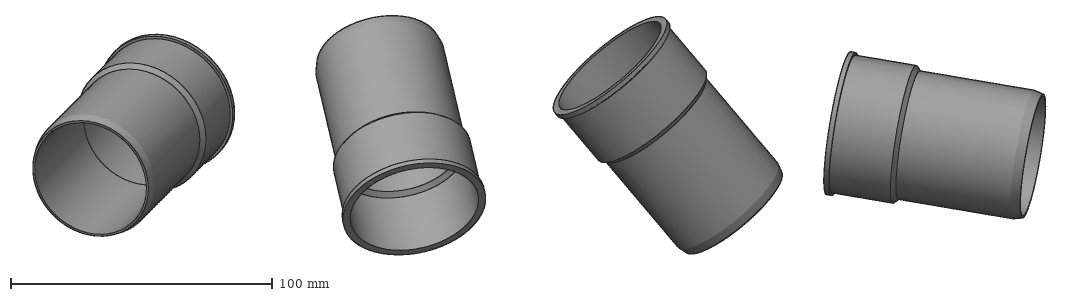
import cadquery as cq

length = 76.0
pipe_diameter = 50.0
bore_diameter = 46.4
flange_diameter = 55.6
flange_thickness = 2.0
socket_depth = 25.85
end_taper_length = 3.6
end_diameter = 48.1

pipe_radius = pipe_diameter / 2
bore_radius = bore_diameter / 2
wall = pipe_radius - bore_radius
socket_radius = pipe_radius + wall
flange_radius = flange_diameter / 2
end_radius = end_diameter / 2

spigot_end = -length / 2
taper_end = spigot_end + end_taper_length
flange_end = length / 2
flange_start = flange_end - flange_thickness
socket_start = flange_end - socket_depth
shoulder_start = socket_start - wall

half_section = [
    (bore_radius, spigot_end),
    (end_radius, spigot_end),
    (pipe_radius, taper_end),
    (pipe_radius, shoulder_start),
    (socket_radius, socket_start),
    (socket_radius, flange_start),
    (flange_radius, flange_start),
    (flange_radius, flange_end),
    (pipe_radius, flange_end),
    (pipe_radius, socket_start),
    (bore_radius, shoulder_start),
]

result = (
    cq.Workplane("XY")
    .polyline(half_section)
    .close()
    .revolve(360, (0, 0, 0), (0, 1, 0))
)